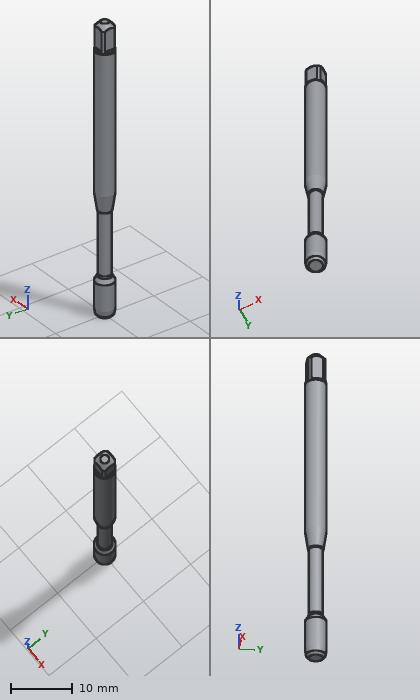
import cadquery as cq

total_length = 56.2
body_diameter = 3.6
neck_diameter = 2.35

tip_diameter = 2.35
tip_chamfer_height = 0.5
lead_diameter = 3.25
lead_top_z = 1.5
head_taper_start_z = 6.7
head_top_z = 8.05
head_collar_diameter = 2.55
head_collar_z = 7.6

shank_taper_bottom_z = 20.25
neck_top_z = 20.05
shank_taper_bottom_diameter = 2.6
shank_taper_top_z = 23.6

square_diameter = 3.45
square_width = 2.8
square_bottom_z = 51.35
shank_top_z = 50.85
crown_diameter = 1.45

body_radius = body_diameter / 2
neck_radius = neck_diameter / 2
square_radius = square_diameter / 2
crown_radius = crown_diameter / 2
half_square = square_width / 2


def revolve_profile(points):
    """Turn a closed outline of (radius, z) points about the Z axis."""
    return cq.Workplane("XZ").polyline(points).close().revolve(360, (0, 0), (0, 1))


def make_head():
    """Threading head with a slim lead, a chamfered tip and a two-step tapered back."""
    return revolve_profile([
        (0, 0),
        (tip_diameter / 2, 0),
        (lead_diameter / 2, tip_chamfer_height),
        (body_radius, lead_top_z),
        (body_radius, head_taper_start_z),
        (head_collar_diameter / 2, head_collar_z),
        (neck_radius, head_top_z),
        (0, head_top_z),
    ])


def make_flat_cutter():
    """Remove one flat of the square, with a 45 degree run-out at its bottom."""
    reach = body_diameter
    run_out = reach - half_square
    return (
        cq.Workplane("XZ")
        .polyline([
            (half_square, square_bottom_z),
            (reach, square_bottom_z - run_out),
            (reach, total_length),
            (half_square, total_length),
        ])
        .close()
        .extrude(body_radius, both=True)
    )


def make_shank():
    """Neck, tapered shank and driving square as one turned and milled body."""
    shoulder_height = body_radius - square_radius
    crown_height = square_radius - crown_radius
    shank = revolve_profile([
        (0, head_top_z),
        (neck_radius, head_top_z),
        (neck_radius, neck_top_z),
        (shank_taper_bottom_diameter / 2, shank_taper_bottom_z),
        (body_radius, shank_taper_top_z),
        (body_radius, shank_top_z),
        (square_radius, shank_top_z + shoulder_height),
        (square_radius, total_length - crown_height),
        (crown_radius, total_length),
        (0, total_length),
    ])
    flat_cutter = make_flat_cutter()
    for angle in (0, 90, 180, 270):
        shank = shank.cut(flat_cutter.rotate((0, 0, 0), (0, 0, 1), angle))
    return shank


head = make_head()
shank = make_shank()

result = cq.Compound.makeCompound([head.val(), *shank.vals()])